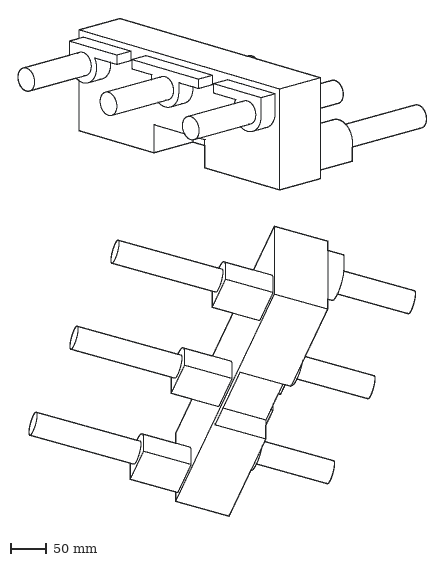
import cadquery as cq

block_width = 410.0
block_depth = 81.0
block_height = 150.0

notch_width = 104.0
notch_height = 42.0
notch_back_wall = 4.0

rod_diameter = 34.0
boss_radius = 28.0
edge_margin = 9.0

front_boss_length = 28.0
front_rod_length = 112.0
tab_thickness = 14.0
side_tab_width = 97.0
middle_tab_width = 136.0
front_z = block_height - edge_margin - boss_radius
front_pitch = block_width / 2 - edge_margin - boss_radius
tab_z = block_height - edge_margin - tab_thickness

rear_boss_length = 72.0
rear_rod_length = 157.0
rear_z = edge_margin + boss_radius
rear_pitch = 170.0
rear_row_offset = -2.2


def box(x_min, y_min, z_min, width, depth, height):
    """Box placed by its lowest corner."""
    return cq.Workplane("XY").box(width, depth, height, centered=False).translate((x_min, y_min, z_min))


def cylinder(x, y_min, z, radius, length):
    """Cylinder along +Y starting at y_min."""
    axis = cq.Vector(0, 1, 0)
    return cq.Workplane(cq.Solid.makeCylinder(radius, length, cq.Vector(x, y_min, z), axis))


def notched_block():
    block = box(-block_width / 2, 0, 0, block_width, block_depth, block_height)
    notch_depth = block_depth - notch_back_wall
    return block.cut(box(-notch_width / 2, 0, 0, notch_width, notch_depth, notch_height))


def front_terminal(side):
    """Round boss hanging from a flat tab; side is -1 (left), 0 (middle) or 1 (right)."""
    x = side * front_pitch
    y_min = -front_boss_length
    boss = cylinder(x, y_min, front_z, boss_radius, front_boss_length)
    if side == 0:
        tab_width = middle_tab_width
        tab_x = -tab_width / 2
        neck_x = -boss_radius
        neck_width = 2 * boss_radius
    else:
        tab_width = side_tab_width
        tab_x = x - boss_radius if side < 0 else x + boss_radius - tab_width
        neck_x = min(x, x + side * boss_radius)
        neck_width = boss_radius
    neck = box(neck_x, y_min, front_z, neck_width, front_boss_length, boss_radius)
    tab = box(tab_x, y_min, tab_z, tab_width, front_boss_length, tab_thickness)
    rod = cylinder(x, y_min - front_rod_length, front_z, rod_diameter / 2, front_rod_length)
    return boss.union(neck).union(tab).union(rod)


def rear_terminal(side):
    """Boss with a round top and a square foot, carrying a longer rod."""
    x = side * rear_pitch + rear_row_offset
    boss = cylinder(x, block_depth, rear_z, boss_radius, rear_boss_length)
    foot = box(x - boss_radius, block_depth, edge_margin, 2 * boss_radius, rear_boss_length, boss_radius)
    rod = cylinder(x, block_depth + rear_boss_length, rear_z, rod_diameter / 2, rear_rod_length)
    return boss.union(foot).union(rod)


result = notched_block()
for side in (-1, 0, 1):
    result = result.union(front_terminal(side)).union(rear_terminal(side))